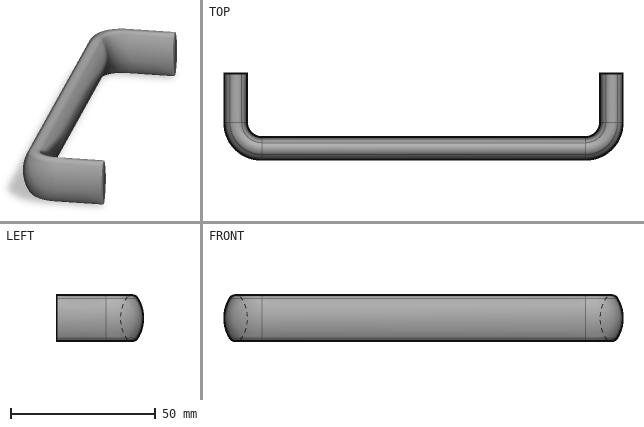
import cadquery as cq
import math

length = 138.0
projection = 30.0
section_thickness = 8.0
section_height = 16.0

tip_radius = 2.4
bend_radius = 9.0

half_thickness = section_thickness / 2
half_height = section_height / 2
tip_center_z = half_height - tip_radius

broad_radius = (half_thickness**2 + tip_center_z**2 - tip_radius**2) / (2 * (half_thickness - tip_radius))

tangent_angle = math.atan2(tip_center_z, broad_radius - half_thickness)
tangent_x = tip_radius * math.cos(tangent_angle)
tangent_z = tip_center_z + tip_radius * math.sin(tangent_angle)

leg_x = length / 2 - half_thickness
grip_y = -(projection - half_thickness)
bend_start_y = grip_y + bend_radius
bend_end_x = leg_x - bend_radius
bend_mid_offset = bend_radius * math.sin(math.radians(45))


def make_path():
    """U-shaped centreline: leg, bend, grip, bend, leg."""
    return (
        cq.Workplane("XY")
        .moveTo(-leg_x, 0)
        .lineTo(-leg_x, bend_start_y)
        .threePointArc(
            (-bend_end_x - bend_mid_offset, bend_start_y - bend_mid_offset),
            (-bend_end_x, grip_y),
        )
        .lineTo(bend_end_x, grip_y)
        .threePointArc(
            (bend_end_x + bend_mid_offset, bend_start_y - bend_mid_offset),
            (leg_x, bend_start_y),
        )
        .lineTo(leg_x, 0)
    )


def make_section():
    """Lens section on the end face of the left leg."""
    return (
        cq.Workplane("XZ", origin=(-leg_x, 0, 0))
        .moveTo(-tangent_x, -tangent_z)
        .threePointArc((-half_thickness, 0), (-tangent_x, tangent_z))
        .threePointArc((0, half_height), (tangent_x, tangent_z))
        .threePointArc((half_thickness, 0), (tangent_x, -tangent_z))
        .threePointArc((0, -half_height), (-tangent_x, -tangent_z))
        .close()
    )


result = make_section().sweep(make_path())